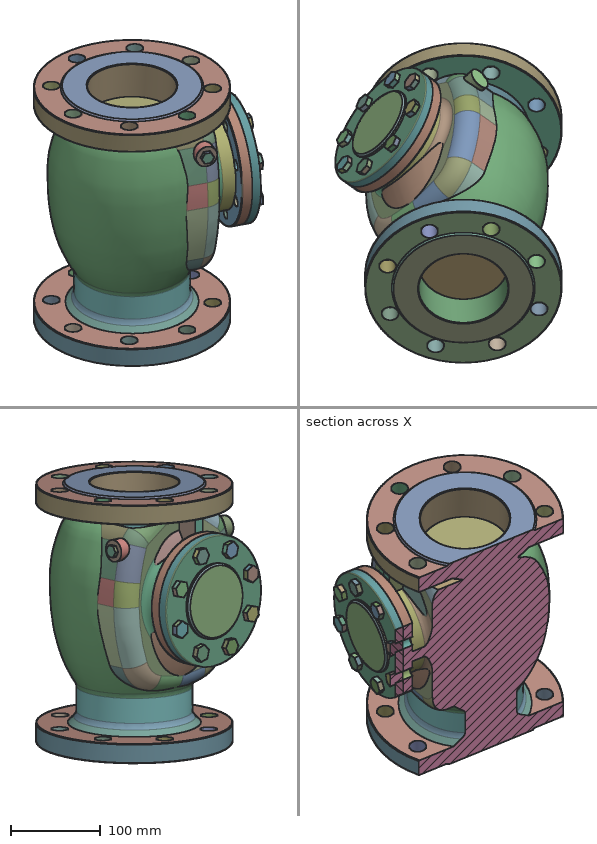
import cadquery as cq
import math

valve_height = 300.0
flange_diameter = 220.0
flange_thickness = 22.5
flange_edge_chamfer = 1.0
raised_face_height = 2.0
raised_face_base_diameter = 160.0
raised_face_diameter = 156.0
flange_hole_diameter = 19.0
flange_hole_circle = 180.0
holes_per_flange = 8
first_hole_angle = 180.0 / holes_per_flange
bore_diameter = 100.0
bore_depth = 42.0
bore_chamfer = 1.0

hub_diameter = 148.8
pipe_neck_diameter = 130.0
pipe_neck_blend = 10.0
bulb_bottom_z = 69.5
bulb_top_z = 267.0
bulb_profile = [(78.5, 256.2), (85.8, 240.0), (92.5, 216.0), (94.5, 180.0), (91.5, 140.0), (82.2, 103.2)]

chamber_back_y = 77.0
chamber_corner_radius = 20.0
chamber_top_z = 270.5
chamber_top_corner = (65.0, 267.0)
chamber_shoulder_middle = (72.3, 260.5)
chamber_side = [(76.8, 252.0), (87.0, 210.0), (89.0, 180.0), (75.3, 108.0), (39.0, 76.5)]
chamber_bottom_z = 72.0

cover_axis_z = 184.0
cover_diameter = 150.0
cover_thickness = 10.5
cover_seat_y = 115.5
cover_flange_thickness = 12.5
cover_edge_fillet = 1.0
cover_neck_diameter = 112.0
cover_neck_blend = 10.0
cover_pad_diameter = 86.0
cover_pad_height = 4.5
cover_pad_chamfer = 2.0
rib_thickness = 12.0

boss_diameter = 25.0
boss_half_span = 88.0
boss_y = 56.0
boss_z = 244.0
plug_width_across_flats = 13.0
plug_height = 4.5

bolt_count = 8
bolt_circle = 120.0
first_bolt_angle = 180.0 / bolt_count
bolt_hole_diameter = 12.0
bolt_head_across_flats = 17.0
bolt_head_height = 6.3
bolt_head_turn = -7.5

flange_radius = flange_diameter / 2
pipe_neck_radius = pipe_neck_diameter / 2
hub_radius = hub_diameter / 2
bottom_flange_top_z = raised_face_height + flange_thickness
top_flange_bottom_z = valve_height - bottom_flange_top_z
bottom_hub_top_z = bottom_flange_top_z + hub_radius - pipe_neck_radius
bulb_top_radius = hub_radius - (top_flange_bottom_z - bulb_top_z)
cover_outer_y = cover_seat_y + cover_thickness
cover_flange_back_y = cover_seat_y - cover_flange_thickness
bolt_angles = [first_bolt_angle + i * 360.0 / bolt_count for i in range(bolt_count)]


def across_corners(across_flats):
    return across_flats / math.cos(math.pi / 6)


def bolt_center(angle):
    """(x, z) of the bolt at the given angle, measured from +X toward +Z."""
    radius = bolt_circle / 2
    x = radius * math.cos(math.radians(angle))
    z = cover_axis_z + radius * math.sin(math.radians(angle))
    return x, z


def y_cylinder(diameter, y_start, y_end, x=0.0, z=cover_axis_z):
    """Cylinder along +Y between two y values."""
    plane = cq.Plane(origin=(x, y_start, z), xDir=(1, 0, 0), normal=(0, 1, 0))
    return cq.Workplane(plane).circle(diameter / 2).extrude(y_end - y_start)


def bolt_holes(y_start, y_end):
    """Tools for the whole circle of cover bolt holes."""
    holes = cq.Workplane("XY")
    for angle in bolt_angles:
        x, z = bolt_center(angle)
        holes = holes.add(y_cylinder(bolt_hole_diameter, y_start, y_end, x, z))
    return holes.combine()


def pipe_flange():
    """Drilled flange with its raised face on z = 0."""
    raised_face = (
        cq.Workplane("XZ")
        .polyline([
            (0, 0),
            (raised_face_diameter / 2, 0),
            (raised_face_base_diameter / 2, raised_face_height),
            (0, raised_face_height),
        ])
        .close()
        .revolve(360, (0, 0, 0), (0, 1, 0))
    )
    plate = (
        cq.Workplane("XY")
        .workplane(offset=raised_face_height)
        .circle(flange_radius)
        .extrude(flange_thickness)
        .edges()
        .chamfer(flange_edge_chamfer)
    )
    holes = (
        cq.Workplane("XY")
        .polarArray(flange_hole_circle / 2, first_hole_angle, 360, holes_per_flange)
        .circle(flange_hole_diameter / 2)
        .extrude(bottom_flange_top_z)
    )
    return plate.union(raised_face).cut(holes)


def barrel():
    """Turned core: hubs, pipe neck and bulb."""
    bulb_points = [(bulb_top_radius, bulb_top_z)] + bulb_profile + [(pipe_neck_radius, bulb_bottom_z)]
    turned = (
        cq.Workplane("XZ")
        .moveTo(0, top_flange_bottom_z)
        .lineTo(hub_radius, top_flange_bottom_z)
        .lineTo(*bulb_points[0])
        .spline(bulb_points[1:], includeCurrent=True)
        .lineTo(pipe_neck_radius, bottom_hub_top_z)
        .lineTo(hub_radius, bottom_flange_top_z)
        .lineTo(0, bottom_flange_top_z)
        .close()
        .revolve(360, (0, 0, 0), (0, 1, 0))
        .rotate((0, 0, 0), (0, 0, 1), -90)
    )
    neck_ends = cq.selectors.BoxSelector(
        (-flange_radius, -flange_radius, bottom_flange_top_z + 3),
        (flange_radius, flange_radius, bulb_bottom_z + 3),
    )
    return turned.edges("%CIRCLE").edges(neck_ends).fillet(pipe_neck_blend)


def chamber():
    """Flat-backed rear half with rounded side corners."""
    left_points = [(-x, z) for x, z in reversed([chamber_top_corner] + chamber_side)]
    outline = (
        cq.Workplane("XZ")
        .moveTo(*left_points[-1])
        .threePointArc((0, chamber_top_z), chamber_top_corner)
        .threePointArc(chamber_shoulder_middle, chamber_side[0])
    )
    for point in chamber_side[1:] + [(0, chamber_bottom_z)] + left_points:
        outline = outline.tangentArcPoint(point, relative=False)
    body = outline.close().extrude(-chamber_back_y)
    lowest_back_edge = body.faces(">Y").edges("<Z")
    return body.newObject(lowest_back_edge.vals()[:1]).fillet(chamber_corner_radius)


def cover_seat():
    """Neck and drilled flange that carry the cover, blended into the chamber back."""
    neck_radius = cover_neck_diameter / 2
    blend_radius = neck_radius + cover_neck_blend
    blend_end_y = chamber_back_y + cover_neck_blend
    arc_offset = cover_neck_blend * (1 - math.sqrt(0.5))
    neck = (
        cq.Workplane("XY")
        .moveTo(0, 0)
        .lineTo(neck_radius, 0)
        .lineTo(neck_radius, chamber_back_y)
        .lineTo(blend_radius, chamber_back_y)
        .threePointArc((neck_radius + arc_offset, chamber_back_y + arc_offset), (neck_radius, blend_end_y))
        .lineTo(neck_radius, cover_flange_back_y)
        .lineTo(0, cover_flange_back_y)
        .close()
        .revolve(360, (0, 0, 0), (0, 1, 0))
        .translate((0, 0, cover_axis_z))
    )
    flange = y_cylinder(cover_diameter, cover_flange_back_y, cover_seat_y)
    flange = flange.edges("<Y").fillet(cover_edge_fillet)
    flange = flange.cut(bolt_holes(cover_flange_back_y, cover_seat_y))
    return neck.union(flange)


def rib():
    """Web from the top pipe flange down to the cover neck."""
    return (
        cq.Workplane("XY")
        .workplane(offset=cover_axis_z)
        .center(0, cover_flange_back_y / 2)
        .rect(rib_thickness, cover_flange_back_y)
        .extrude(top_flange_bottom_z - cover_axis_z)
    )


def hinge_bosses():
    """Boss across both sides, with a hexagon plug on the +X end."""
    bosses = (
        cq.Workplane("YZ")
        .workplane(offset=-boss_half_span)
        .center(boss_y, boss_z)
        .circle(boss_diameter / 2)
        .extrude(2 * boss_half_span)
    )
    plug = (
        cq.Workplane("YZ")
        .workplane(offset=boss_half_span)
        .center(boss_y, boss_z)
        .polygon(6, across_corners(plug_width_across_flats))
        .extrude(plug_height)
    )
    return bosses.union(plug)


def bore():
    """Blind bore with a chamfered mouth, opening on z = 0."""
    drill = cq.Workplane("XY").circle(bore_diameter / 2).extrude(bore_depth)
    mouth = cq.Workplane("XY").circle(bore_diameter / 2 + bore_chamfer).extrude(bore_chamfer, taper=45)
    return drill.union(mouth)


def mirrored_to_top(shape):
    return shape.mirror("XY", (0, 0, valve_height / 2))


def make_housing():
    housing = barrel().union(chamber()).union(cover_seat()).union(rib()).union(hinge_bosses())
    for end_flange in (pipe_flange(), mirrored_to_top(pipe_flange())):
        housing = housing.union(end_flange)
    return housing.cut(bore()).cut(mirrored_to_top(bore()))


def make_cover():
    plate = y_cylinder(cover_diameter, cover_seat_y, cover_outer_y)
    plate = plate.edges(">Y").fillet(cover_edge_fillet)
    pad = y_cylinder(cover_pad_diameter, cover_outer_y, cover_outer_y + cover_pad_height)
    pad = pad.edges(">Y").chamfer(cover_pad_chamfer)
    return plate.union(pad).cut(bolt_holes(cover_seat_y, cover_outer_y))


def make_bolt(angle):
    """Hexagon bolt whose shank fills the cover hole; the head turns with the bolt circle."""
    x, z = bolt_center(angle)
    shank = y_cylinder(bolt_hole_diameter, cover_seat_y, cover_outer_y, x, z)
    turn = math.radians(angle + bolt_head_turn)
    plane = cq.Plane(
        origin=(x, cover_outer_y, z),
        xDir=(math.cos(turn), 0, math.sin(turn)),
        normal=(0, 1, 0),
    )
    head = cq.Workplane(plane).polygon(6, across_corners(bolt_head_across_flats)).extrude(bolt_head_height)
    return shank.union(head)


housing = make_housing()
cover = make_cover()
bolts = [make_bolt(angle) for angle in bolt_angles]

result = cq.Compound.makeCompound([housing.val(), cover.val()] + [bolt.val() for bolt in bolts])